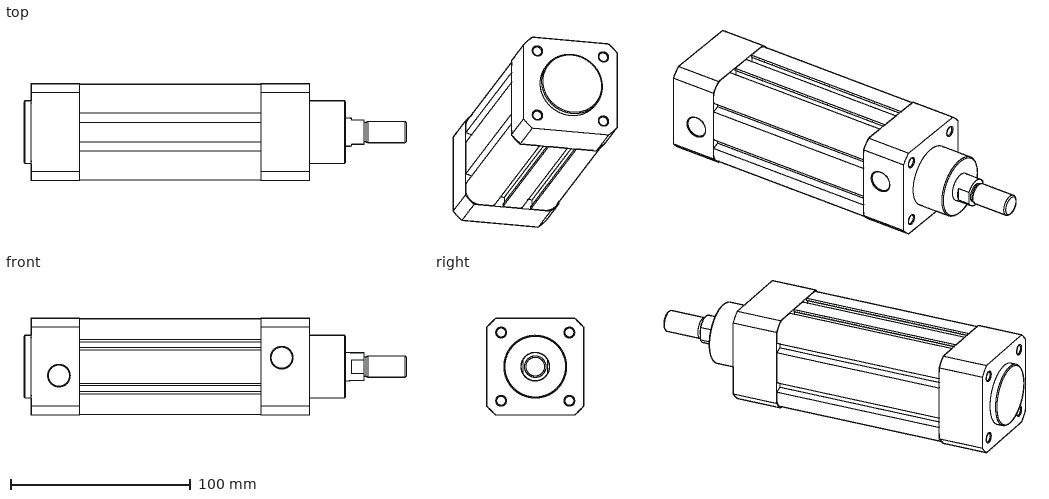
import cadquery as cq


REAR_SPIGOT_LENGTH = 4.0
COVER_LENGTH = 27.0
BARREL_LENGTH = 101.0
FRONT_SPIGOT_LENGTH = 20.0
ROD_SHOULDER_LENGTH = 10.4
ROD_END_LENGTH = 23.6

REAR_COVER_START = REAR_SPIGOT_LENGTH
BARREL_START = REAR_COVER_START + COVER_LENGTH
BARREL_END = BARREL_START + BARREL_LENGTH
FRONT_COVER_END = BARREL_END + COVER_LENGTH
ROD_START = FRONT_COVER_END + FRONT_SPIGOT_LENGTH
SHOULDER_END = ROD_START + ROD_SHOULDER_LENGTH
ROD_END = SHOULDER_END + ROD_END_LENGTH

COVER_WIDTH = 54.0
COVER_CORNER_DIAMETER = 69.6
SPIGOT_DIAMETER = 35.0
REAR_SPIGOT_CHAMFER = 0.6
FRONT_SPIGOT_CHAMFER = 0.6

MOUNT_PITCH = 38.0
MOUNT_DIAMETER = 5.0
MOUNT_MOUTH_DIAMETER = 6.0
MOUNT_MOUTH_DEPTH = 0.5
MOUNT_DEPTH = 16.0

PORT_DIAMETER = 11.8
PORT_MOUTH_DIAMETER = 12.6
PORT_MOUTH_DEPTH = 0.5
PORT_DEPTH = 12.0
PORT_FROM_BARREL = 11.5
PORT_HEIGHT = 5.0

BARREL_WIDTH = 53.5
BARREL_RADIUS = 8.0

TAPER_SLOT_INNER = 9.3
TAPER_SLOT_OUTER = 15.1
TAPER_SLOT_INSET = 1.3
TAPER_SLOT_DEPTH = 4.0

T_SLOT_INNER = 5.4
T_SLOT_OUTER = 10.6
T_SLOT_LIP = 1.4
T_SLOT_UNDERCUT = 0.8
T_SLOT_DEPTH = 5.5

COLLAR_DIAMETER = 16.0
COLLAR_LENGTH = 2.1
COLLAR_CHAMFER_LENGTH = 0.6
SHOULDER_DIAMETER = 15.7
FLAT_START = 3.4
ACROSS_FLATS = 13.7
NECK_DIAMETER = 10.8
NECK_LENGTH = 0.9
NECK_TAPER_LENGTH = 1.1
THREAD_DIAMETER = 12.0
ROD_TIP_CHAMFER = 0.8


def mirrored(points):
    """Point list mirrored across the vertical axis of its sketch."""
    return [(-across, up) for across, up in points]


def entry_hole(plane, diameter, depth, mouth_diameter, mouth_depth):
    """Cutter for a blind hole, sunk against the plane normal, with a conical mouth."""
    bore = cq.Workplane(plane).circle(diameter / 2).extrude(-depth)
    mouth = (
        cq.Workplane(plane)
        .circle(mouth_diameter / 2)
        .workplane(offset=-mouth_depth)
        .circle(diameter / 2)
        .loft()
    )
    return bore.union(mouth)


def make_cover(outer_face, outward, spigot_length, spigot_chamfer, port_height):
    """Square cover with turned corners, a round spigot, four mounting holes and an air port.

    Its outer face is at X = outer_face and faces +X (outward = 1) or -X (outward = -1).
    """
    outer_plane = cq.Plane(origin=(outer_face, 0, 0), xDir=(0, 1, 0), normal=(outward, 0, 0))
    block = (
        cq.Workplane(outer_plane)
        .rect(COVER_WIDTH, COVER_WIDTH)
        .extrude(-COVER_LENGTH)
    )
    turned_corners = cq.Workplane(outer_plane).circle(COVER_CORNER_DIAMETER / 2).extrude(-COVER_LENGTH)
    spigot = (
        cq.Workplane(outer_plane)
        .circle(SPIGOT_DIAMETER / 2)
        .extrude(spigot_length)
        .faces(">X" if outward > 0 else "<X")
        .chamfer(spigot_chamfer)
    )
    cover = block.intersect(turned_corners).union(spigot)

    for y_side in (-1, 1):
        for z_side in (-1, 1):
            hole_centre = (outer_face, y_side * MOUNT_PITCH / 2, z_side * MOUNT_PITCH / 2)
            hole_plane = cq.Plane(origin=hole_centre, xDir=(0, 1, 0), normal=(outward, 0, 0))
            mounting_hole = entry_hole(
                hole_plane, MOUNT_DIAMETER, MOUNT_DEPTH, MOUNT_MOUTH_DIAMETER, MOUNT_MOUTH_DEPTH
            )
            cover = cover.cut(mounting_hole)

    port_x = outer_face - outward * (COVER_LENGTH - PORT_FROM_BARREL)
    port_centre = (port_x, -COVER_WIDTH / 2, port_height)
    port_plane = cq.Plane(origin=port_centre, xDir=(1, 0, 0), normal=(0, -1, 0))
    port = entry_hole(port_plane, PORT_DIAMETER, PORT_DEPTH, PORT_MOUTH_DIAMETER, PORT_MOUTH_DEPTH)
    return cover.cut(port)


def make_barrel():
    """Rounded square extrusion with two tapered slots per Y face and two T-slots per Z face."""
    face = BARREL_WIDTH / 2
    barrel = (
        cq.Workplane("YZ", origin=(BARREL_START, 0, 0))
        .rect(BARREL_WIDTH, BARREL_WIDTH)
        .extrude(BARREL_LENGTH)
        .edges("|X")
        .fillet(BARREL_RADIUS)
    )

    taper_floor = face - TAPER_SLOT_DEPTH
    taper_slot = [
        (TAPER_SLOT_INNER, face),
        (TAPER_SLOT_INNER + TAPER_SLOT_INSET, taper_floor),
        (TAPER_SLOT_OUTER - TAPER_SLOT_INSET, taper_floor),
        (TAPER_SLOT_OUTER, face),
    ]
    lip_bottom = face - T_SLOT_LIP
    t_floor = face - T_SLOT_DEPTH
    t_slot = [
        (T_SLOT_INNER, face),
        (T_SLOT_INNER, lip_bottom),
        (T_SLOT_INNER - T_SLOT_UNDERCUT, lip_bottom),
        (T_SLOT_INNER - T_SLOT_UNDERCUT, t_floor),
        (T_SLOT_OUTER + T_SLOT_UNDERCUT, t_floor),
        (T_SLOT_OUTER + T_SLOT_UNDERCUT, lip_bottom),
        (T_SLOT_OUTER, lip_bottom),
        (T_SLOT_OUTER, face),
    ]

    for profile, face_angles in ((t_slot, (0, 180)), (taper_slot, (90, 270))):
        for outline in (profile, mirrored(profile)):
            slot = (
                cq.Workplane("YZ", origin=(BARREL_START, 0, 0))
                .polyline(outline)
                .close()
                .extrude(BARREL_LENGTH)
            )
            for angle in face_angles:
                barrel = barrel.cut(slot.rotate((0, 0, 0), (1, 0, 0), angle))
    return barrel


def make_rod():
    """Turned rod end with a collar, two wrench flats on the shoulder, a neck and a plain thread."""
    collar_end = ROD_START + COLLAR_LENGTH
    collar_chamfer_end = collar_end + COLLAR_CHAMFER_LENGTH
    neck_end = SHOULDER_END + NECK_LENGTH
    thread_start = neck_end + NECK_TAPER_LENGTH
    half_profile = [
        (ROD_START, 0),
        (ROD_START, COLLAR_DIAMETER / 2),
        (collar_end, COLLAR_DIAMETER / 2),
        (collar_chamfer_end, SHOULDER_DIAMETER / 2),
        (SHOULDER_END, SHOULDER_DIAMETER / 2),
        (SHOULDER_END, NECK_DIAMETER / 2),
        (neck_end, NECK_DIAMETER / 2),
        (thread_start, THREAD_DIAMETER / 2),
        (ROD_END - ROD_TIP_CHAMFER, THREAD_DIAMETER / 2),
        (ROD_END, THREAD_DIAMETER / 2 - ROD_TIP_CHAMFER),
        (ROD_END, 0),
    ]
    rod = cq.Workplane("XY").polyline(half_profile).close().revolve(360, (0, 0, 0), (1, 0, 0))

    flat_length = ROD_SHOULDER_LENGTH - FLAT_START
    for side in (-1, 1):
        flat_cutter = cq.Workplane("XY").box(flat_length, SHOULDER_DIAMETER, SHOULDER_DIAMETER)
        flat_centre_x = SHOULDER_END - flat_length / 2
        flat_centre_y = side * (ACROSS_FLATS + SHOULDER_DIAMETER) / 2
        rod = rod.cut(flat_cutter.translate((flat_centre_x, flat_centre_y, 0)))
    return rod


rear_cover = make_cover(REAR_COVER_START, -1, REAR_SPIGOT_LENGTH, REAR_SPIGOT_CHAMFER, -PORT_HEIGHT)
front_cover = make_cover(FRONT_COVER_END, 1, FRONT_SPIGOT_LENGTH, FRONT_SPIGOT_CHAMFER, PORT_HEIGHT)
barrel = make_barrel()
rod = make_rod()

result = cq.Compound.makeCompound([rear_cover.val(), front_cover.val(), barrel.val(), rod.val()])